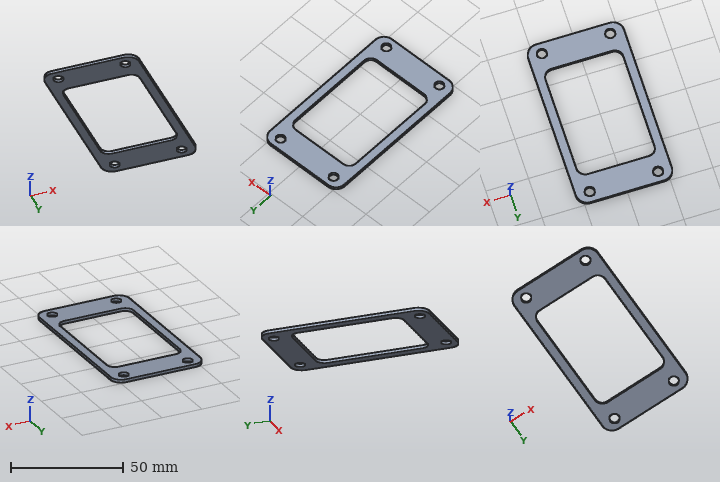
import cadquery as cq

plate_width = 45.0
plate_length = 80.0
plate_thickness = 1.5
plate_corner_radius = 5.2

window_width = 36.5
window_length = 53.4
window_corner_radius = 4.0

hole_diameter = 4.6
hole_spacing_x = 32.0
hole_spacing_y = 70.0


def rounded_plate(width, length, corner_radius):
    """Plate centred on the Z axis, standing on Z = 0, with rounded vertical edges."""
    blank = cq.Workplane("XY").box(width, length, plate_thickness, centered=(True, True, False))
    return blank.edges("|Z").fillet(corner_radius)


plate = rounded_plate(plate_width, plate_length, plate_corner_radius)
window = rounded_plate(window_width, window_length, window_corner_radius)
mounting_holes = (
    cq.Workplane("XY")
    .rarray(hole_spacing_x, hole_spacing_y, 2, 2)
    .circle(hole_diameter / 2)
    .extrude(plate_thickness)
)

result = plate.cut(window).cut(mounting_holes)